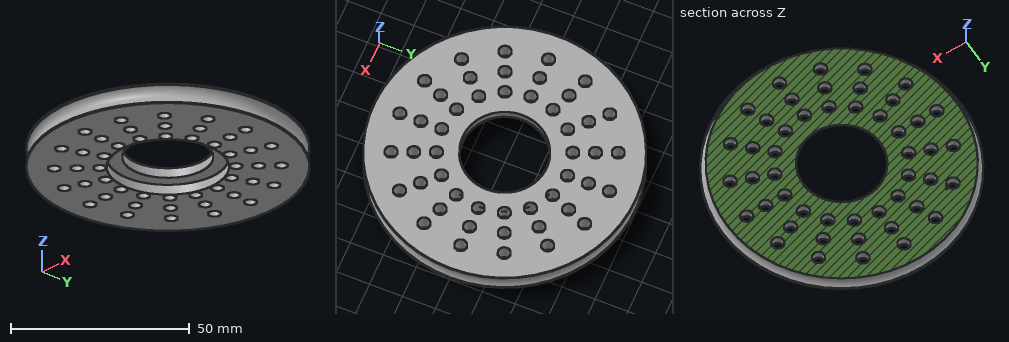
import cadquery as cq

OUTER_DIAMETER = 79.16
THICKNESS = 6.1
BORE_DIAMETER = 25.4

RECESS_DIAMETER = 34.2
RECESS_DEPTH = THICKNESS / 2

GROOVE_DEPTH = 1.5
RIM_LAND = 0.4

INCH = 25.4
RING_RADII = [0.75 * INCH, 1.0 * INCH, 1.25 * INCH]
HOLES_PER_RING = 16
HOLE_DIAMETER = 3.6


def pulley_disc():
    """Disc with a stepped bore and an arc-shaped groove, centred on the origin."""
    outer_radius = OUTER_DIAMETER / 2
    bore_radius = BORE_DIAMETER / 2
    recess_radius = RECESS_DIAMETER / 2
    half_thickness = THICKNESS / 2
    recess_top = RECESS_DEPTH - half_thickness
    groove_half_width = half_thickness - RIM_LAND
    profile = (
        cq.Workplane("XZ")
        .moveTo(recess_radius, -half_thickness)
        .lineTo(outer_radius, -half_thickness)
        .lineTo(outer_radius, -groove_half_width)
        .threePointArc((outer_radius - GROOVE_DEPTH, 0), (outer_radius, groove_half_width))
        .lineTo(outer_radius, half_thickness)
        .lineTo(bore_radius, half_thickness)
        .lineTo(bore_radius, recess_top)
        .lineTo(recess_radius, recess_top)
        .close()
    )
    return profile.revolve(360, (0, 0, 0), (0, 1, 0))


def drill_ring(body, ring_radius):
    """Drill one ring of evenly spaced through holes."""
    return (
        body.faces(">Z")
        .workplane(origin=(0, 0, 0))
        .polarArray(ring_radius, 0, 360, HOLES_PER_RING)
        .hole(HOLE_DIAMETER)
    )


result = pulley_disc()
for radius in RING_RADII:
    result = drill_ring(result, radius)